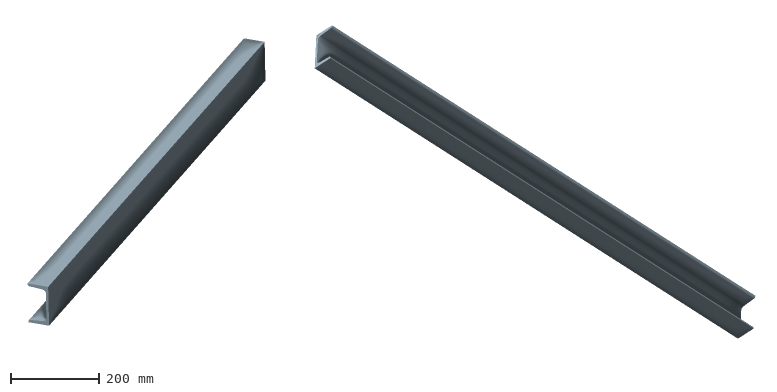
import cadquery as cq

overall_length = 1360.0
end_offset = 5.0
height = 100.0
width = 50.0
web_thickness = 6.0
flange_thickness = 8.5
flange_slope = 0.08
root_radius = 8.5
toe_radius = 4.5

half_length = overall_length / 2
half_height = height / 2
half_width = width / 2
web_inner_x = half_width - web_thickness


def inner_flange_z(x):
    """Height of the sloping inner face of the upper flange at x."""
    return half_height - flange_thickness - flange_slope * x


def make_channel():
    """Straight channel, open toward -X, with rounded roots and toes."""
    toe_z = inner_flange_z(-half_width)
    root_z = inner_flange_z(web_inner_x)
    channel = (
        cq.Workplane("XZ")
        .polyline([
            (half_width, -half_height),
            (half_width, half_height),
            (-half_width, half_height),
            (-half_width, toe_z),
            (web_inner_x, root_z),
            (web_inner_x, -root_z),
            (-half_width, -toe_z),
            (-half_width, -half_height),
        ])
        .close()
        .extrude(half_length, both=True)
    )
    for x, z, radius in [
        (web_inner_x, root_z, root_radius),
        (-half_width, toe_z, toe_radius),
    ]:
        for corner_z in (z, -z):
            edge = cq.selectors.NearestToPointSelector((x, 0, corner_z))
            channel = channel.edges("|Y").edges(edge).fillet(radius)
    return channel


def make_end_envelope():
    """Parallelogram prism whose parallel slanted ends trim the channel."""
    return (
        cq.Workplane("YZ")
        .polyline([
            (-half_length, half_height),
            (half_length - end_offset, half_height),
            (half_length, -half_height),
            (-half_length + end_offset, -half_height),
        ])
        .close()
        .extrude(half_width, both=True)
    )


result = make_channel().intersect(make_end_envelope())